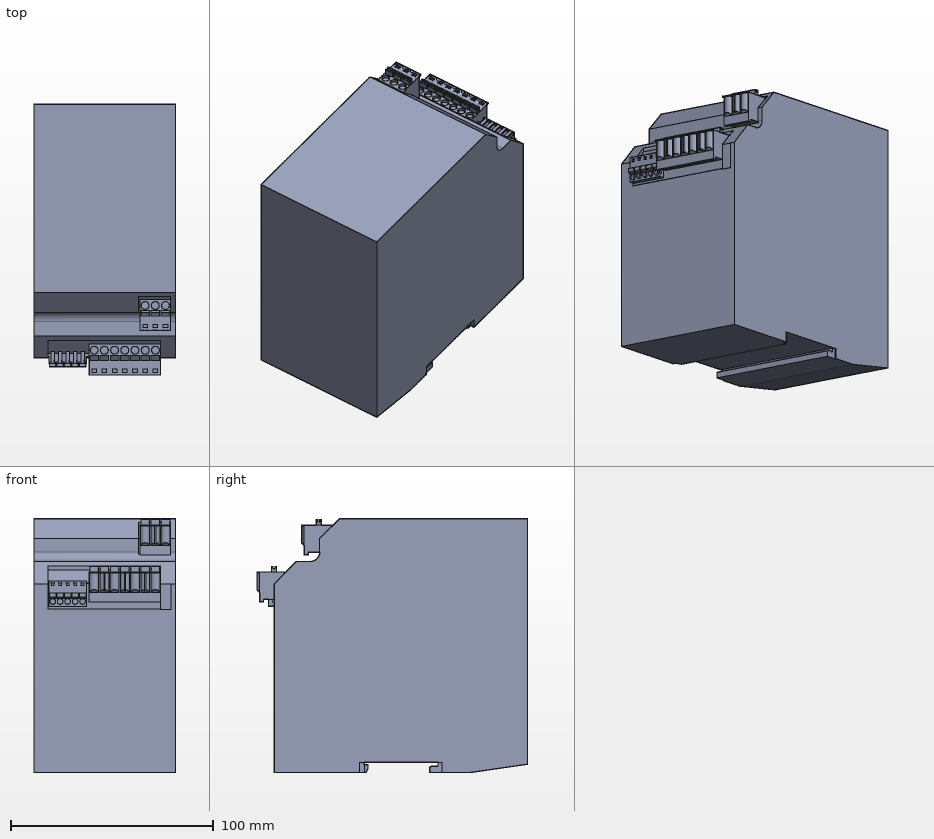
import cadquery as cq
import math


width = 70.0
depth = 125.1
height = 125.3
brow_y = 32.2
brow_drop = 9.8
shelf_z = 104.2
shelf_radius = 4.7
shelf_chamfer = 10.8
front_top_z = 93.0
wall_y = brow_y - brow_drop
heel_rise = 4.1
heel_y = 96.6

slot_front_y = 42.2
slot_rear_y = 82.8
slot_height = 5.1
hook_inset = 0.7
hook_root = 2.1
hook_reach = 6.1
hook_height = 3.2
hook_bevel_length = 1.0
hook_bevel_height = 0.4
latch_inset = 2.0
latch_root = 2.3
latch_reach = 4.1
latch_top_z = 4.0
latch_bevel_z = 2.1
latch_bevel_length = 1.1
latch_nose_inset = 2.7

lower_ways = 7
lower_width = 35.3
pitch = lower_width / lower_ways
block_depth = 15.4
block_height = 13.5
upper_ways = 3
upper_x = 52.4
upper_front_y = 13.5
upper_top_z = 122.1
lower_x = 27.3
lower_front_y = -8.5
lower_top_z = 99.0
nose = 1.3
plate_thickness = 0.5
column_height = 10.2
column_bevel = 1.5
column_width = 4.4
seam_width = 0.5
seam_depth = 0.7
lip_length = 2.0
lip_drop = 1.2
lever_offset = 7.2
lever_depth = 2.5
lever_height = 2.7
lever_notch_width = 1.0
lever_notch_depth = 1.1
lever_gap = 0.8
screw_offset = 12.3
screw_diameter = 3.9
screw_depth = 1.6
test_offset = 2.1
test_width = 2.3
test_length = 1.6
test_depth = 1.3

recess_depth = 1.6
recess_x = 7.1
recess_end_x = lower_x + lower_width
recess_rear_y = 8.5
recess_floor_z = 93.5
upper_recess_x = 51.6
upper_recess_end_x = upper_x + upper_ways * pitch
upper_recess_rear_y = 30.2
upper_recess_floor_z = 108.0

panel_depth = 0.3
panel_bottom_z = 80.8
side_panel_depth = 0.1
side_panel_bottom_z = 80.5
side_panel_end_x = 67.6

plug_x = 7.5
plug_width = 18.5
plug_ways = 5
plug_bottom_z = 82.0
plug_top_z = 94.6
plug_front_y = -2.8
plug_rear_y = 3.2
finger_width = 1.7
finger_height = 1.1
finger_wall = 0.7
tab_top_z = 88.6
tab_height = 1.9
tab_bevel = 0.8
tab_reach = 1.7
tab_gap = 0.5
wire_z = 84.5
wire_diameter = 2.8
wire_depth = 2.0
probe_z = 93.0
probe_size = 1.3
probe_depth = 1.3


def box(x0, x1, y0, y1, z0, z1):
    return cq.Workplane("XY").box(x1 - x0, y1 - y0, z1 - z0, centered=False).translate((x0, y0, z0))


def side_prism(points, x0, x1):
    """Extrude a closed (Y, Z) outline from x0 to x1."""
    return cq.Workplane("YZ").workplane(offset=x0).polyline(points).close().extrude(x1 - x0)


def housing():
    blend = shelf_radius * (1 - math.sqrt(0.5))
    return (
        cq.Workplane("YZ")
        .moveTo(0, 0)
        .lineTo(heel_y, 0)
        .lineTo(depth, heel_rise)
        .lineTo(depth, height)
        .lineTo(brow_y, height)
        .lineTo(wall_y, height - brow_drop)
        .lineTo(wall_y, shelf_z + shelf_radius)
        .threePointArc((wall_y - blend, shelf_z + blend), (wall_y - shelf_radius, shelf_z))
        .lineTo(shelf_chamfer, shelf_z)
        .lineTo(0, front_top_z)
        .close()
        .extrude(width)
    )


def rail_slot():
    return box(0, width, slot_front_y, slot_rear_y, 0, slot_height)


def rail_hook():
    root_y = slot_rear_y - hook_root
    tip_y = slot_rear_y - hook_reach
    return side_prism(
        [
            (slot_rear_y, 0),
            (slot_rear_y, slot_height),
            (root_y, slot_height),
            (root_y, hook_height),
            (tip_y + hook_bevel_length, hook_height),
            (tip_y, hook_height - hook_bevel_height),
            (tip_y, 0),
        ],
        hook_inset,
        width - hook_inset,
    )


def rail_latch():
    """Root strip in the slot corner with a slightly narrower nose bevelled underneath."""
    root_y = slot_front_y + latch_root
    tip_y = slot_front_y + latch_reach
    root = box(latch_inset, width - latch_inset, slot_front_y, root_y, 0, slot_height)
    nose_bar = side_prism(
        [
            (root_y, 0),
            (root_y, latch_top_z),
            (tip_y, latch_top_z),
            (tip_y, latch_bevel_z),
            (tip_y - latch_bevel_length, 0),
        ],
        latch_nose_inset,
        width - latch_nose_inset,
    )
    return root.union(nose_bar)


def upper_recess():
    floor_offset = height - brow_y - recess_depth
    inner_y = wall_y + recess_depth
    return side_prism(
        [
            (upper_recess_rear_y, height),
            (upper_recess_rear_y, upper_recess_rear_y + floor_offset),
            (inner_y, inner_y + floor_offset),
            (inner_y, upper_recess_floor_z),
            (upper_front_y, upper_recess_floor_z),
            (upper_front_y, height),
        ],
        upper_recess_x,
        upper_recess_end_x,
    )


def lower_recess():
    floor_offset = front_top_z - recess_depth
    return side_prism(
        [
            (recess_rear_y, shelf_z),
            (recess_rear_y, recess_rear_y + floor_offset),
            (recess_floor_z - floor_offset, recess_floor_z),
            (0, recess_floor_z),
            (0, shelf_z),
        ],
        recess_x,
        recess_end_x,
    )


def front_panels():
    main = box(recess_x, recess_end_x, 0, panel_depth, panel_bottom_z, recess_floor_z)
    side = box(recess_end_x, side_panel_end_x, 0, side_panel_depth, side_panel_bottom_z, front_top_z)
    return main.union(side)


def clamp_column(x, face_y, top_z):
    """Convex column whose lower end is bevelled back to the block face."""
    half = column_width / 2
    column = (
        cq.Workplane("XY")
        .moveTo(x - half, face_y)
        .threePointArc((x, face_y - nose), (x + half, face_y))
        .lineTo(x + half, face_y + nose)
        .lineTo(x - half, face_y + nose)
        .close()
        .extrude(-column_height)
        .translate((0, 0, top_z))
    )
    bottom_z = top_z - column_height
    bevelled_end = side_prism(
        [
            (face_y + nose, top_z),
            (face_y - nose, top_z),
            (face_y - nose, bottom_z + column_bevel),
            (face_y, bottom_z),
            (face_y + nose, bottom_z),
        ],
        x - half,
        x + half,
    )
    return column.intersect(bevelled_end)


def column_seam(x, front_y, top_z):
    half = seam_width / 2
    seam_top_z = top_z - plate_thickness
    return box(x - half, x + half, front_y, front_y + seam_depth, top_z - column_height, seam_top_z)


def lever(x, front_y, z):
    """Release lever with a notch across its top."""
    half = (pitch - lever_gap) / 2
    top_z = z + lever_height
    notch_front_y = front_y + (lever_depth - lever_notch_width) / 2
    body = box(x - half, x + half, front_y, front_y + lever_depth, z, top_z)
    notch = box(x - half, x + half, notch_front_y, notch_front_y + lever_notch_width,
                top_z - lever_notch_depth, top_z)
    return body.cut(notch)


def terminal_block(x0, ways, front_y, top_z):
    """Block with a thin top plate over the columns."""
    x1 = x0 + ways * pitch
    face_y = front_y + nose
    rear_y = front_y + block_depth
    bottom_z = top_z - block_height
    block = box(x0, x1, face_y, rear_y, bottom_z, top_z)
    block = block.union(box(x0, x1, front_y, rear_y, top_z - plate_thickness, top_z))
    block = block.union(box(x0, x1, face_y, face_y + lip_length, bottom_z - lip_drop, bottom_z))
    for way in range(ways):
        x = x0 + (way + 0.5) * pitch
        block = block.union(clamp_column(x, face_y, top_z))
        if way % 2:
            block = block.cut(column_seam(x, front_y, top_z))
        block = block.union(lever(x, front_y + lever_offset, top_z))
        screw = cq.Workplane("XY").circle(screw_diameter / 2).extrude(-screw_depth)
        block = block.cut(screw.translate((x, front_y + screw_offset, top_z)))
        test = cq.Workplane("XY").rect(test_width, test_length).extrude(-test_depth)
        block = block.cut(test.translate((x, front_y + test_offset, top_z)))
    return block


def signal_plug():
    plug_pitch = plug_width / plug_ways
    plug = box(plug_x, plug_x + plug_width, plug_front_y, plug_rear_y, plug_bottom_z, plug_top_z)
    front = cq.Workplane("XZ", origin=(0, plug_front_y, 0))
    tab_y = plug_front_y - tab_reach
    groove_half = (plug_pitch - finger_width) / 2
    for gap in range(plug_ways + 1):
        x = plug_x + gap * plug_pitch
        groove = box(x - groove_half, x + groove_half, plug_front_y + finger_wall, plug_rear_y,
                     plug_top_z - finger_height, plug_top_z)
        plug = plug.cut(groove)
    for way in range(plug_ways):
        x = plug_x + (way + 0.5) * plug_pitch
        tab_half = (plug_pitch - tab_gap) / 2
        tab = side_prism(
            [
                (plug_front_y, tab_top_z),
                (tab_y, tab_top_z),
                (tab_y, tab_top_z - tab_height),
                (plug_front_y, tab_top_z - tab_height - tab_bevel),
            ],
            x - tab_half,
            x + tab_half,
        )
        plug = plug.union(tab)
        plug = plug.cut(front.center(x, wire_z).circle(wire_diameter / 2).extrude(-wire_depth))
        plug = plug.cut(front.center(x, probe_z).rect(probe_size, probe_size).extrude(-probe_depth))
    return plug


result = housing().cut(rail_slot()).union(rail_hook()).union(rail_latch())
result = result.cut(upper_recess()).cut(lower_recess()).cut(front_panels())
result = result.union(terminal_block(upper_x, upper_ways, upper_front_y, upper_top_z))
result = result.union(terminal_block(lower_x, lower_ways, lower_front_y, lower_top_z))
result = result.union(signal_plug())